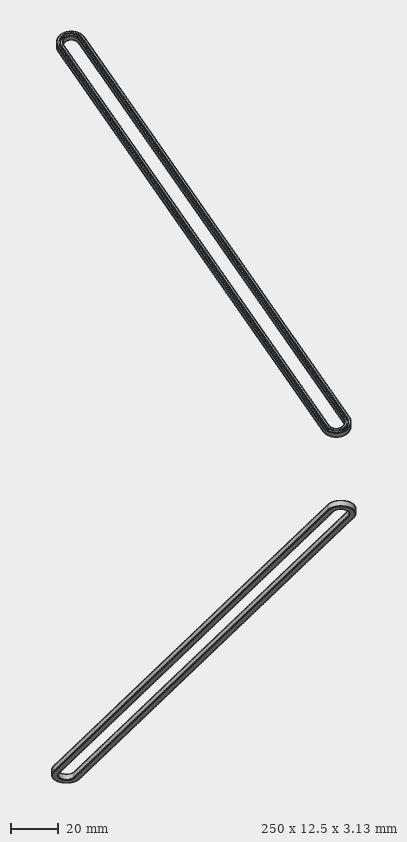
import cadquery as cq

LENGTH = 250.0
WIDTH = 12.5
HEIGHT = 3.125
WALL = 2.75
EDGE_CHAMFER = 0.3
GROOVE_WIDTH = WALL / 5
GROOVE_DEPTH = GROOVE_WIDTH


def slot_solid(inset, bottom, height):
    """Round-ended slab whose outline lies `inset` inside the outer outline."""
    return (
        cq.Workplane("XY")
        .workplane(offset=bottom)
        .slot2D(LENGTH - 2 * inset, WIDTH - 2 * inset)
        .extrude(height)
    )


def band(outer_inset, thickness, bottom, height):
    """Closed round-ended band of rectangular section."""
    outer = slot_solid(outer_inset, bottom, height)
    opening = slot_solid(outer_inset + thickness, bottom, height)
    return outer.cut(opening)


def chamfered_ring():
    """Full band with its inner and outer edges chamfered, top and bottom."""
    ring = band(0, WALL, 0, HEIGHT)
    return ring.faces("<Z or >Z").edges().chamfer(EDGE_CHAMFER)


def top_groove():
    """Groove that runs all the way around the middle of the top face."""
    groove_inset = (WALL - GROOVE_WIDTH) / 2
    return band(groove_inset, GROOVE_WIDTH, HEIGHT - GROOVE_DEPTH, GROOVE_DEPTH)


result = chamfered_ring().cut(top_groove())